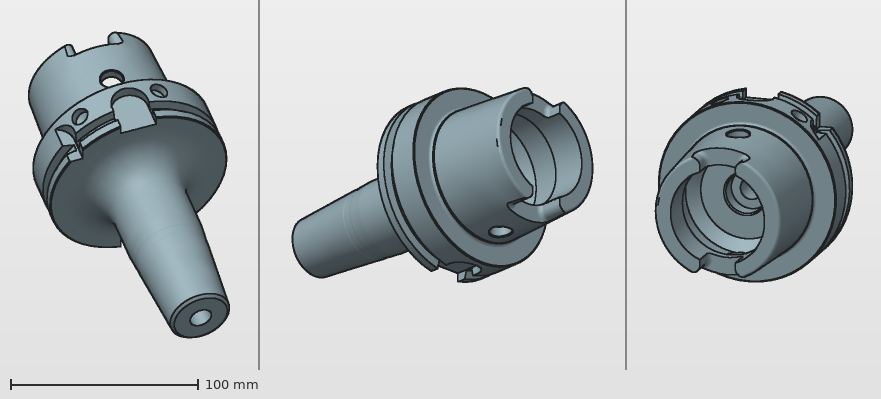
import cadquery as cq
import math

total_length = 180.0
shank_end = 47.2
flange_start = 50.0
flange_end = 78.7
neck_start = 98.8
neck_end = 122.5
band_start = 130.1
band_end = 135.4

shank_large_radius = 37.71
shank_taper = 0.05
shank_rim_round = 1.6
relief_depth = 0.2
relief_width = 0.5
collar_fillet = 1.6

flange_radius = 50.0
flange_chamfer = 0.5
groove_center = 70.0
groove_root_radius = 45.5
groove_root_width = 4.0
groove_mouth_width = 6.5

neck_radius = 20.97
band_start_radius = 20.3
band_end_radius = 20.0
band_ramp = 0.5
band_recess = 0.09
nose_radius = 16.65
nose_chamfer = 1.6

socket_radius = 26.5
socket_floor_radius = 25.0
socket_mouth_length = 20.0
socket_wide_radius = 31.5
socket_wide_x = 40.5
socket_depth = 46.8
counterbore_radius = 11.2
counterbore_depth = 10.0
counterbore_chamfer = 0.9
through_radius = 6.03

cross_hole_radius = 6.03
cross_hole_x = 35.0
cross_hole_chamfer = 0.5

keyway_width = 20.0
keyway_corner_height = 32.13
keyway_corner_radius = 4.5
keyway_floor_fillet = 2.5
upper_keyway_depth = 9.9
lower_keyway_depth = 15.0

slot_width = 20.0
slot_end_x = 54.4
driver_slot_floor = 44.0
corner_notch_offset = 31.5

rim_hole_radius = 4.77
rim_hole_depth = 4.5
rim_hole_x = 59.0
rim_hole_tip_depth = 2.7
flat_hole_angle = -21.6
pointed_hole_angle = 32.0


def body():
    """Turned outside shape, revolved around the X axis."""
    shank_small_radius = shank_large_radius - shank_taper * shank_end
    neck_fillet = neck_start - flange_end
    fillet_mid = neck_fillet * math.sqrt(0.5)
    fillet_center_radius = neck_radius + neck_fillet
    profile = (
        cq.Workplane("XY")
        .lineTo(0, shank_small_radius)
        .lineTo(shank_end, shank_large_radius)
        .lineTo(shank_end + relief_width, shank_large_radius - relief_depth)
        .lineTo(shank_end + 2 * relief_width, shank_large_radius)
        .lineTo(flange_start - collar_fillet, shank_large_radius)
        .radiusArc((flange_start, shank_large_radius + collar_fillet), -collar_fillet)
        .lineTo(flange_start, flange_radius - flange_chamfer)
        .lineTo(flange_start + flange_chamfer, flange_radius)
        .lineTo(groove_center - groove_mouth_width / 2, flange_radius)
        .lineTo(groove_center - groove_root_width / 2, groove_root_radius)
        .lineTo(groove_center + groove_root_width / 2, groove_root_radius)
        .lineTo(groove_center + groove_mouth_width / 2, flange_radius)
        .lineTo(flange_end - flange_chamfer, flange_radius)
        .lineTo(flange_end, flange_radius - flange_chamfer)
        .lineTo(flange_end, fillet_center_radius)
        .threePointArc(
            (neck_start - fillet_mid, fillet_center_radius - fillet_mid),
            (neck_start, neck_radius),
        )
        .lineTo(neck_end, neck_radius)
        .lineTo(band_start, band_start_radius)
        .lineTo(band_start + band_ramp, band_start_radius - 2 * band_recess)
        .lineTo(band_end, band_end_radius - band_recess)
        .lineTo(band_end + band_ramp, band_end_radius)
        .lineTo(total_length, nose_radius)
        .lineTo(total_length, 0)
        .close()
    )
    turned = profile.revolve(360, (0, 0, 0), (1, 0, 0))
    turned = turned.faces("<X").edges().fillet(shank_rim_round)
    return turned.faces(">X").edges().chamfer(nose_chamfer)


def drill_cross_hole(shape):
    """Cross hole along Z with a chamfer on both outer edges."""
    hole = (
        cq.Workplane("XY", origin=(cross_hole_x, 0, -flange_radius))
        .circle(cross_hole_radius)
        .extrude(2 * flange_radius)
    )
    drilled = shape.cut(hole)
    for side in (1, -1):
        mouth = cq.NearestToPointSelector((cross_hole_x, 0, side * shank_large_radius))
        drilled = drilled.edges(mouth).chamfer(cross_hole_chamfer)
    return drilled


def axial_bores():
    """Socket with a wider chamber, counterbore in its floor and a bore through the whole length."""
    socket_profile = (
        cq.Workplane("XY")
        .lineTo(0, socket_radius)
        .lineTo(socket_mouth_length, socket_radius)
        .lineTo(socket_mouth_length, socket_wide_radius)
        .lineTo(socket_wide_x, socket_wide_radius)
        .lineTo(socket_depth, socket_floor_radius)
        .lineTo(socket_depth, counterbore_radius + counterbore_chamfer)
        .lineTo(socket_depth + counterbore_chamfer, counterbore_radius)
        .lineTo(socket_depth + counterbore_depth, counterbore_radius)
        .lineTo(socket_depth + counterbore_depth, 0)
        .close()
    )
    socket = socket_profile.revolve(360, (0, 0, 0), (1, 0, 0))
    through = cq.Workplane("YZ").circle(through_radius).extrude(total_length)
    return socket.union(through)


def keyway(depth):
    """Rim keyway at +Z whose walls flare outwards at the top."""
    half = keyway_width / 2
    outer_half = half + 2 * keyway_corner_radius
    wall_top = keyway_corner_height - keyway_corner_radius
    corner_mid = keyway_corner_radius * (1 - math.sqrt(0.5))
    corner_end = half + keyway_corner_radius
    outline = (
        cq.Workplane("YZ")
        .moveTo(-half, 0)
        .lineTo(half, 0)
        .lineTo(half, wall_top)
        .threePointArc(
            (half + corner_mid, keyway_corner_height - corner_mid),
            (corner_end, keyway_corner_height),
        )
        .lineTo(outer_half, keyway_corner_height)
        .lineTo(outer_half, flange_radius)
        .lineTo(-outer_half, flange_radius)
        .lineTo(-outer_half, keyway_corner_height)
        .lineTo(-corner_end, keyway_corner_height)
        .threePointArc(
            (-half - corner_mid, keyway_corner_height - corner_mid),
            (-half, wall_top),
        )
        .close()
    )
    return outline.extrude(depth).faces(">X").edges().fillet(keyway_floor_fillet)


def flange_slot(center_y, floor_z):
    """Round-ended slot milled along Z, open towards the neck."""
    radius = slot_width / 2
    start = slot_end_x + radius
    length = flange_end - start
    plane = cq.Workplane("XY", origin=(start, center_y, floor_z))
    round_end = plane.circle(radius).extrude(flange_radius)
    straight = plane.rect(length, slot_width).extrude(flange_radius).translate((length / 2, 0, 0))
    return round_end.union(straight)


def rim_hole(angle, tip_depth=0):
    """Radial blind hole in the flange rim, tilted from +Z towards -Y, flat or with a conical tip."""
    floor_z = flange_radius - rim_hole_depth
    profile = (
        cq.Workplane("XZ")
        .moveTo(0, floor_z - tip_depth)
        .lineTo(rim_hole_radius, floor_z)
        .lineTo(rim_hole_radius, flange_radius + rim_hole_depth)
        .lineTo(0, flange_radius + rim_hole_depth)
        .close()
    )
    hole = profile.revolve(360, (0, 0, 0), (0, 1, 0)).translate((rim_hole_x, 0, 0))
    return hole.rotate((0, 0, 0), (1, 0, 0), angle)


def half_turn(shape):
    return shape.rotate((0, 0, 0), (1, 0, 0), 180)


result = drill_cross_hole(body()).cut(axial_bores())

result = result.cut(keyway(upper_keyway_depth))
result = result.cut(half_turn(keyway(lower_keyway_depth)))

driver_slot = flange_slot(0, driver_slot_floor)
corner_notch = flange_slot(-corner_notch_offset - slot_width / 2, corner_notch_offset)
result = result.cut(driver_slot).cut(half_turn(driver_slot)).cut(corner_notch)

result = result.cut(rim_hole(flat_hole_angle))
result = result.cut(rim_hole(pointed_hole_angle, rim_hole_tip_depth))